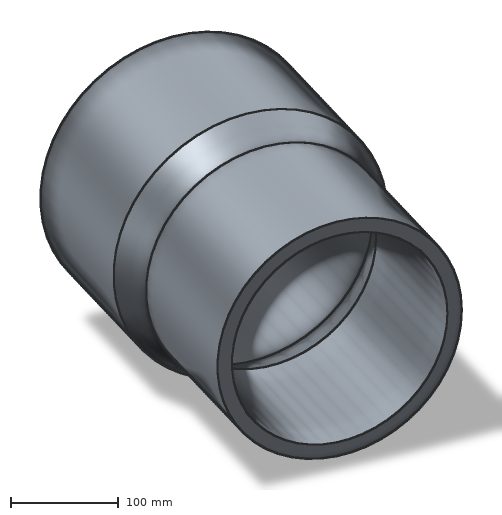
import cadquery as cq

large_outer_diameter = 280.0
large_bore_diameter = 250.4
small_outer_diameter = 250.0
small_bore_diameter = 220.4

total_length = 355.0
large_end_length = 160.0
taper_length = 39.0
taper_end = large_end_length + taper_length


def stepped_solid(large_diameter, small_diameter):
    """Solid of revolution about X: large cylinder, cone, small cylinder."""
    large_radius = large_diameter / 2
    small_radius = small_diameter / 2
    return (
        cq.Workplane("XY")
        .moveTo(0, 0)
        .lineTo(0, large_radius)
        .lineTo(large_end_length, large_radius)
        .lineTo(taper_end, small_radius)
        .lineTo(total_length, small_radius)
        .lineTo(total_length, 0)
        .close()
        .revolve(360, (0, 0, 0), (1, 0, 0))
    )


outer_body = stepped_solid(large_outer_diameter, small_outer_diameter)
bore = stepped_solid(large_bore_diameter, small_bore_diameter)

result = outer_body.cut(bore)